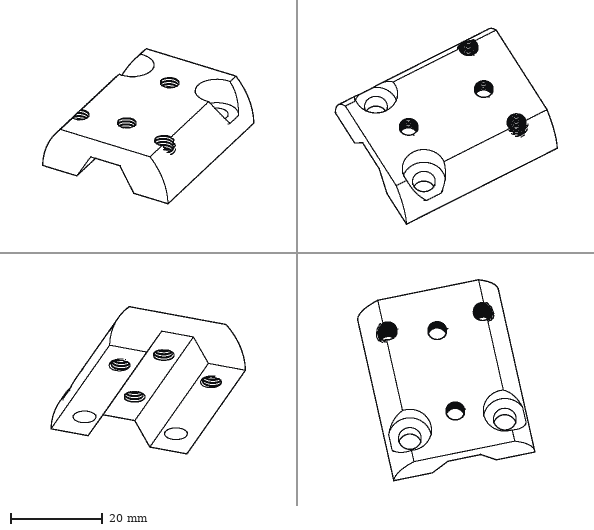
import cadquery as cq
import math

WIDTH = 31.75
LENGTH = 38.1
HEIGHT = 10.82
ARC_AXIS_DEPTH = 0.3
ARC_RADIUS = math.hypot(WIDTH / 2, ARC_AXIS_DEPTH)

CHANNEL_DEPTH = 6.05
CHANNEL_ROOF_WIDTH = 7.4
CHANNEL_WALL_ANGLE = 60.0

CORNER_X = 10.65
CORNER_Y = 11.7
MIDDLE_Y = 9.5

CLEARANCE_DIAMETER = 5.0
COUNTERBORE_DIAMETER = 9.5
COUNTERBORE_DEPTH = 6.1

THREAD_PITCH = 0.8
THREAD_MINOR_DIAMETER = 4.1
THREAD_FLANK_SLOPE = math.tan(math.radians(30))
THREAD_DEPTH = 5 / 8 * (THREAD_PITCH / 2 / THREAD_FLANK_SLOPE)
ROOT_FLAT = THREAD_PITCH / 8
THREAD_END_DEPTH = 0.35
THREAD_END_ANGLE = 180.0
BORE_OVERLAP = 0.08


def arc_x(z):
    """Half width of the rounded outline at height z."""
    return math.sqrt(ARC_RADIUS**2 - (z + ARC_AXIS_DEPTH) ** 2)


def make_body():
    """Round-sided block with the channel running along its whole length."""
    half_base = WIDTH / 2
    half_top = arc_x(HEIGHT)
    half_roof = CHANNEL_ROOF_WIDTH / 2
    half_mouth = half_roof + CHANNEL_DEPTH / math.tan(math.radians(CHANNEL_WALL_ANGLE))
    mid_z = HEIGHT / 2
    return (
        cq.Workplane("XZ")
        .moveTo(-half_base, 0)
        .threePointArc((-arc_x(mid_z), mid_z), (-half_top, HEIGHT))
        .lineTo(half_top, HEIGHT)
        .threePointArc((arc_x(mid_z), mid_z), (half_base, 0))
        .lineTo(half_mouth, 0)
        .lineTo(half_roof, CHANNEL_DEPTH)
        .lineTo(-half_roof, CHANNEL_DEPTH)
        .lineTo(-half_mouth, 0)
        .close()
        .extrude(LENGTH / 2, both=True)
    )


def make_thread_groove(floor_z):
    """Right-handed helical groove from below floor_z up to just under the top face."""
    top_z = HEIGHT - THREAD_END_DEPTH
    turns = math.ceil((top_z - floor_z) / THREAD_PITCH) + 1
    bottom_z = top_z - turns * THREAD_PITCH
    minor_radius = THREAD_MINOR_DIAMETER / 2
    inner_radius = minor_radius - BORE_OVERLAP
    outer_radius = minor_radius + THREAD_DEPTH
    half_root = ROOT_FLAT / 2
    half_mouth = half_root + (outer_radius - inner_radius) * THREAD_FLANK_SLOPE
    helix = cq.Wire.makeHelix(THREAD_PITCH, turns * THREAD_PITCH, minor_radius)
    groove = (
        cq.Workplane("XZ")
        .polyline(
            [
                (inner_radius, -half_mouth),
                (outer_radius, -half_root),
                (outer_radius, half_root),
                (inner_radius, half_mouth),
            ]
        )
        .close()
        .sweep(cq.Workplane(helix), isFrenet=True)
    )
    return groove.rotate((0, 0, 0), (0, 0, 1), THREAD_END_ANGLE).translate((0, 0, bottom_z))


def cut_counterbored_hole(body, x, y):
    top = body.faces(">Z").workplane(origin=(x, y, HEIGHT))
    return top.cboreHole(CLEARANCE_DIAMETER, COUNTERBORE_DIAMETER, COUNTERBORE_DEPTH)


def cut_tapped_hole(body, x, y, floor_z):
    """Threaded through hole; cutting the groove before the bore keeps the solid clean."""
    grooved = body.cut(make_thread_groove(floor_z).translate((x, y, 0)))
    return grooved.faces(">Z").workplane(origin=(x, y, HEIGHT)).hole(THREAD_MINOR_DIAMETER)


result = make_body()
for side in (-1, 1):
    result = cut_tapped_hole(result, side * CORNER_X, -CORNER_Y, 0)
    result = cut_tapped_hole(result, 0, side * MIDDLE_Y, CHANNEL_DEPTH)
for side in (-1, 1):
    result = cut_counterbored_hole(result, side * CORNER_X, CORNER_Y)
result = result.solids()